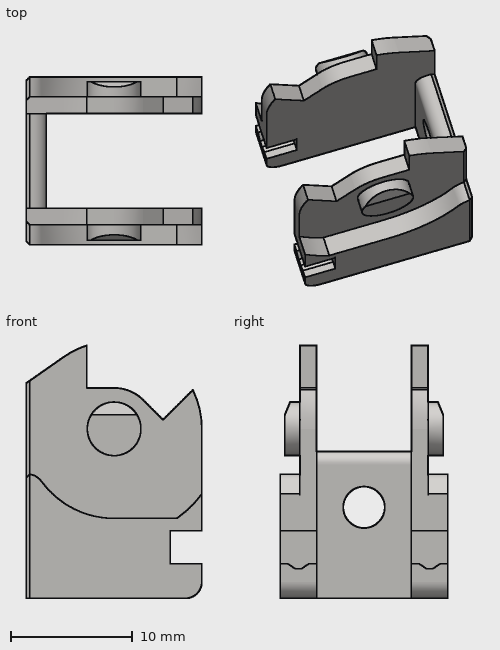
import cadquery as cq
import math

length = 14.48
width = 13.8
height = 20.83
half_width = width / 2
edge_chamfer = 0.31

inner_half_gap = 3.9
upper_half_width = 5.27

pin_x = 7.25
pin_z = 13.95
pin_radius = 4.42 / 2
pin_half_span = 6.52
pin_flat_drop = 1.06
pin_flat_inset = 0.44

tip_radius = length - pin_x
slope_angle = math.radians(35)
shoulder_radius = 3.37
vee_x = 11.27
vee_tip_x = 13.73

saddle_radius = 7.37
saddle_flat_end_x = 12.4
ledge_z = 10.25
ledge_round = 1.52
bottom_round = 1.37

notch_x = 11.87
notch_bottom = 2.87
notch_top = 5.56
groove_top_width = 1.8
groove_floor_width = 0.55
groove_depth = 0.42

wall_thickness = 1.67
wall_top = 12.1
wall_round = 1.06
hole_radius = 3.4 / 2
hole_z = 7.5


def pin_circle(radius, angle):
    """Point (x, z) on a circle about the pin axis."""
    return (pin_x + radius * math.cos(angle), pin_z + radius * math.sin(angle))


def on_circle_at_x(radius, x, side):
    """Point of a pin-centered circle at a given x, above (1) or below (-1) the axis."""
    return (x, pin_z + side * math.sqrt(radius**2 - (x - pin_x) ** 2))


def angle_about_pin(point):
    return math.atan2(point[1] - pin_z, point[0] - pin_x)


def arc_about_pin(outline, start, end):
    """Add the pin-centered arc from start to end."""
    radius = math.hypot(start[0] - pin_x, start[1] - pin_z)
    middle = (angle_about_pin(start) + angle_about_pin(end)) / 2
    return outline.threePointArc(pin_circle(radius, middle), end)


def across(outline, half_span):
    """Extrude an XZ outline symmetrically about Y = 0."""
    return outline.close().extrude(half_span, both=True)


def plan_prism(half_span):
    """Full-height block with both vertical edges at X = 0 chamfered."""
    block = cq.Workplane("XY").box(length, 2 * half_span, height, centered=(False, True, False))
    return block.edges("|Z and <X").chamfer(edge_chamfer)


def upper_plates():
    slope_end = pin_circle(tip_radius, math.pi / 2 + slope_angle)
    slope_start = (0, slope_end[1] - slope_end[0] * math.tan(slope_angle))
    peak_x = pin_x - math.sqrt(tip_radius**2 - (height - pin_z) ** 2)
    shoulder_start = pin_circle(shoulder_radius, math.pi / 2)
    shoulder_end = pin_circle(shoulder_radius, math.pi / 4)
    vee = (vee_x, shoulder_end[1] - (vee_x - shoulder_end[0]))
    vee_tip = on_circle_at_x(tip_radius, vee_tip_x, 1)

    outline = cq.Workplane("XZ").lineTo(*slope_start).lineTo(*slope_end)
    outline = arc_about_pin(outline, slope_end, (peak_x, height))
    outline = outline.lineTo(peak_x, shoulder_start[1]).lineTo(*shoulder_start)
    outline = arc_about_pin(outline, shoulder_start, shoulder_end)
    outline = outline.lineTo(*vee).lineTo(*vee_tip)
    outline = arc_about_pin(outline, vee_tip, (length, pin_z))
    outline = outline.lineTo(length, bottom_round)
    outline = outline.radiusArc((length - bottom_round, 0), bottom_round)
    return across(outline, upper_half_width).intersect(plan_prism(upper_half_width))


def lower_cheeks():
    round_center_z = ledge_z - ledge_round
    center_distance = saddle_radius + ledge_round
    tangent_angle = math.pi + math.asin((pin_z - round_center_z) / center_distance)
    round_center_x = pin_circle(center_distance, tangent_angle)[0]
    saddle_start = pin_circle(saddle_radius, tangent_angle)
    round_start_z = round_center_z + math.sqrt(ledge_round**2 - (edge_chamfer - round_center_x) ** 2)
    saddle_bottom = pin_circle(saddle_radius, 1.5 * math.pi)
    flat_end = (saddle_flat_end_x, saddle_bottom[1])
    rise_radius = math.hypot(flat_end[0] - pin_x, flat_end[1] - pin_z)
    rise_end = on_circle_at_x(rise_radius, length, -1)

    outline = cq.Workplane("XZ").lineTo(0, round_start_z - edge_chamfer)
    outline = outline.lineTo(edge_chamfer, round_start_z)
    outline = outline.radiusArc(saddle_start, ledge_round)
    outline = outline.radiusArc(saddle_bottom, -saddle_radius)
    outline = outline.lineTo(*flat_end)
    outline = arc_about_pin(outline, flat_end, rise_end)
    outline = outline.lineTo(length, bottom_round)
    outline = outline.radiusArc((length - bottom_round, 0), bottom_round)
    return across(outline, half_width).intersect(plan_prism(half_width))


def end_wall():
    outline = (
        cq.Workplane("XZ")
        .lineTo(0, wall_top - edge_chamfer)
        .lineTo(edge_chamfer, wall_top)
        .lineTo(wall_thickness - wall_round, wall_top)
        .radiusArc((wall_thickness, wall_top - wall_round), wall_round)
        .lineTo(wall_thickness, 0)
    )
    return across(outline, inner_half_gap)


def pivot_pins():
    pin = (
        cq.Workplane("XZ")
        .center(pin_x, pin_z)
        .circle(pin_radius)
        .extrude(pin_half_span, both=True)
    )
    pin_top = pin_z + pin_radius
    profile = (
        cq.Workplane("YZ", origin=(pin_x, 0, 0))
        .moveTo(-pin_half_span, pin_z - pin_radius)
        .lineTo(-pin_half_span, pin_top - pin_flat_drop)
        .lineTo(-pin_half_span + pin_flat_inset, pin_top)
        .lineTo(pin_half_span - pin_flat_inset, pin_top)
        .lineTo(pin_half_span, pin_top - pin_flat_drop)
        .lineTo(pin_half_span, pin_z - pin_radius)
        .close()
        .extrude(pin_radius, both=True)
    )
    return pin.intersect(profile)


def notch():
    slot_size = (length - notch_x, width, notch_top - notch_bottom)
    cutter = cq.Workplane("XY").box(*slot_size, centered=(False, True, False))
    cutter = cutter.translate((notch_x, 0, notch_bottom))
    groove_y = (half_width + inner_half_gap) / 2
    for side in (-1, 1):
        groove = (
            cq.Workplane("YZ", origin=(notch_x, side * groove_y, notch_bottom))
            .moveTo(-groove_top_width / 2, 0)
            .lineTo(-groove_floor_width / 2, -groove_depth)
            .lineTo(groove_floor_width / 2, -groove_depth)
            .lineTo(groove_top_width / 2, 0)
            .close()
            .extrude(length - notch_x)
        )
        cutter = cutter.union(groove)
    return cutter


def wall_hole():
    face = cq.Workplane("YZ").center(0, hole_z)
    bore = face.circle(hole_radius).extrude(wall_thickness)
    countersink = cq.Solid.makeCone(
        hole_radius + edge_chamfer,
        hole_radius,
        edge_chamfer,
        pnt=cq.Vector(0, 0, hole_z),
        dir=cq.Vector(1, 0, 0),
    )
    return bore.union(cq.Workplane(obj=countersink))


channel = cq.Workplane("XY").box(length, 2 * inner_half_gap, height, centered=(False, True, False))

result = upper_plates().union(lower_cheeks()).union(pivot_pins())
result = result.cut(channel).union(end_wall())
result = result.cut(notch()).cut(wall_hole())